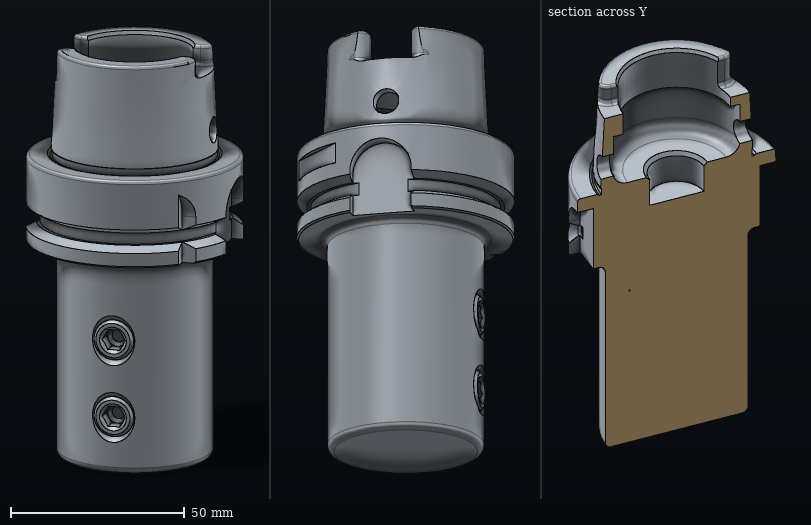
import cadquery as cq
import math


total_height = 122.0
flange_top_z = 90.0
flange_bottom_z = 64.0

body_radius = 22.7
body_edge_fillet = 2.0
body_neck_fillet = 2.1

flange_radius = 31.5
flange_top_fillet = 1.0
flange_bottom_chamfer = 0.5
groove_radius = 27.5
groove_flank_radius = 28.5
groove_upper_z = 73.8
groove_lower_z = 70.2
groove_flank_angle = 30.0
groove_flank_rise = (flange_radius - groove_flank_radius) * math.tan(math.radians(groove_flank_angle))

taper_top_radius = 22.7
taper_slope = 0.05
taper_top_fillet = 1.0
neck_radius = 23.9
neck_top_z = 91.7
relief_inner_radius = 24.5
relief_outer_radius = 25.3
relief_depth = 0.5

bore_radius = 17.0
bore_chamfer_width = 0.6
bore_chamfer_height = 1.1
bore_lip_height = 13.3
chamber_radius = 20.0
chamber_fillet = 4.4
chamber_floor_z = 91.5
coolant_hole_radius = 8.5
coolant_hole_chamfer = 1.1
coolant_hole_depth = 10.0

slot_half_width = 6.2
slot_depth_left = 9.9
slot_depth_right = 6.0
slot_flare_radius = 2.9
slot_flare_start = 17.9
slot_flare_angle = 27.0
slot_flare_length = 6.1
slot_inner_reach = 13.4
slot_floor_fillet = 1.5
slot_edge_fillet = 1.0

cross_hole_radius = 3.8
cross_hole_z = 98.8

keyway_half_width = 9.2
keyway_floor_x = 26.5
keyway_top_z = 85.3
notch_wall = 20.1
notch_radius = 8.5
notch_top_z = 86.5
flat_distance = 29.8
flat_direction = 135.0
flat_bottom_z = 79.9
flat_top_z = 85.9

screw_heights = (16.8, 39.8)
screw_radius = 6.0
screw_seat_radius = 7.5
screw_seat_depth = 1.2
screw_face_radius = 5.1
screw_face_depth = 0.1
screw_face_chamfer = 0.9
socket_mouth_radius = 4.0
hex_across_flats = 6.0
hex_depth = 4.9
hex_tip_radius = 2.0
hex_tip_depth = 1.2

margin = 6.1
tolerance = 0.1


def revolve_about_z(points):
    return cq.Workplane("XZ").polyline(points).close().revolve(360, (0, 0, 0), (0, 1, 0))


def near_height(z):
    """Selector for the edges lying level at height z."""
    return cq.selectors.BoxSelector(
        (-flange_radius, -flange_radius, z - tolerance),
        (flange_radius, flange_radius, z + tolerance))


def make_lower_body():
    lower = revolve_about_z([
        (0, 0),
        (body_radius, 0),
        (body_radius, flange_bottom_z),
        (flange_radius - flange_bottom_chamfer, flange_bottom_z),
        (flange_radius, flange_bottom_z + flange_bottom_chamfer),
        (flange_radius, groove_lower_z - groove_flank_rise),
        (groove_flank_radius, groove_lower_z),
        (groove_radius, groove_lower_z),
        (groove_radius, groove_upper_z),
        (groove_flank_radius, groove_upper_z),
        (flange_radius, groove_upper_z + groove_flank_rise),
        (flange_radius, flange_top_z),
        (relief_outer_radius, flange_top_z),
        (relief_inner_radius, flange_top_z - relief_depth),
        (0, flange_top_z - relief_depth),
    ])
    lower = lower.faces("<Z").edges().fillet(body_edge_fillet)
    flange_rim = lower.edges(near_height(flange_top_z)).edges(cq.selectors.RadiusNthSelector(-1))
    lower = flange_rim.fillet(flange_top_fillet)
    neck_corner = lower.edges(near_height(flange_bottom_z)).edges(cq.selectors.RadiusNthSelector(0))
    return neck_corner.fillet(body_neck_fillet)


def make_slot_cutter(depth):
    """Slot opening toward -X, its mouth flaring outward on both sides."""
    centre_y = slot_half_width + slot_flare_radius

    def on_flare(angle):
        x = -slot_flare_start - slot_flare_radius * math.sin(angle)
        y = centre_y - slot_flare_radius * math.cos(angle)
        return x, y

    end_angle = math.radians(90 + slot_flare_angle)
    mid_x, mid_y = on_flare(end_angle / 2)
    end_x, end_y = on_flare(end_angle)
    tip_x = end_x + slot_flare_length * math.sin(math.radians(slot_flare_angle))
    tip_y = end_y + slot_flare_length * math.cos(math.radians(slot_flare_angle))
    outer_x = -taper_top_radius - margin
    cutter = (
        cq.Workplane("XY", origin=(0, 0, total_height - depth))
        .moveTo(-slot_inner_reach, -slot_half_width)
        .lineTo(-slot_inner_reach, slot_half_width)
        .lineTo(-slot_flare_start, slot_half_width)
        .threePointArc((mid_x, mid_y), (end_x, end_y))
        .lineTo(tip_x, tip_y)
        .lineTo(outer_x, tip_y)
        .lineTo(outer_x, -tip_y)
        .lineTo(tip_x, -tip_y)
        .lineTo(end_x, -end_y)
        .threePointArc((mid_x, -mid_y), (-slot_flare_start, -slot_half_width))
        .close()
        .extrude(depth)
        .faces("<Z").edges().fillet(slot_floor_fillet)
    )
    plate = (
        cq.Workplane("XY")
        .box(-slot_inner_reach - outer_x, 2 * (tip_y + margin), margin, centered=(False, True, False))
        .translate((outer_x, 0, total_height))
    )
    rim = cq.selectors.BoxSelector(
        (outer_x + tolerance, -tip_y - tolerance, total_height - tolerance),
        (-slot_inner_reach - tolerance, tip_y + tolerance, total_height + tolerance))
    return cutter.union(plate).edges(rim).fillet(slot_edge_fillet)


def make_taper():
    taper_bottom_radius = taper_top_radius + taper_slope * (total_height - neck_top_z)
    taper = revolve_about_z([
        (0, flange_top_z - relief_depth),
        (neck_radius, flange_top_z - relief_depth),
        (neck_radius, neck_top_z),
        (taper_bottom_radius, neck_top_z),
        (taper_top_radius, total_height),
        (0, total_height),
    ])
    taper = taper.faces(">Z").edges().fillet(taper_top_fillet)
    taper = taper.cut(make_slot_cutter(slot_depth_left))
    return taper.cut(make_slot_cutter(slot_depth_right).rotate((0, 0, 0), (0, 0, 1), 180))


def make_bore():
    chamber_top_z = total_height - bore_lip_height
    opening = revolve_about_z([
        (0, chamber_top_z),
        (bore_radius, chamber_top_z),
        (bore_radius, total_height - bore_chamfer_height),
        (bore_radius + bore_chamfer_width, total_height),
        (0, total_height),
    ])
    chamber = (
        cq.Workplane("XY", origin=(0, 0, chamber_floor_z))
        .circle(chamber_radius)
        .extrude(chamber_top_z - chamber_floor_z)
        .faces("<Z").edges().fillet(chamber_fillet)
    )
    coolant_hole = revolve_about_z([
        (0, chamber_floor_z - coolant_hole_depth),
        (coolant_hole_radius, chamber_floor_z - coolant_hole_depth),
        (coolant_hole_radius, chamber_floor_z - coolant_hole_chamfer),
        (coolant_hole_radius + coolant_hole_chamfer, chamber_floor_z),
        (0, chamber_floor_z),
    ])
    return opening.union(chamber).union(coolant_hole)


def make_arched_cutter(start_x, centre_y, half_width, top_z):
    """Round-topped slot running in +X from start_x, open below the flange."""
    spring_z = top_z - half_width
    return (
        cq.Workplane("YZ", origin=(start_x, 0, 0))
        .moveTo(centre_y - half_width, flange_bottom_z)
        .lineTo(centre_y + half_width, flange_bottom_z)
        .lineTo(centre_y + half_width, spring_z)
        .threePointArc((centre_y, top_z), (centre_y - half_width, spring_z))
        .close()
        .extrude(flange_radius)
    )


def make_flange_flat():
    """Short flat across the flange, facing between -X and +Y."""
    length = 2 * flange_radius
    return (
        cq.Workplane("XY")
        .box(margin, length, flat_top_z - flat_bottom_z, centered=(False, True, False))
        .translate((flat_distance, 0, flat_bottom_z))
        .rotate((0, 0, 0), (0, 0, 1), flat_direction)
    )


def revolve_into_body(points, z):
    """Turned shape on an axis along Y, from (radius, depth below the -Y side of the body) points."""
    placed = [(radius, depth - body_radius) for radius, depth in points]
    return (
        cq.Workplane("XY").polyline(placed).close()
        .revolve(360, (0, 0, 0), (0, 1, 0)).translate((0, 0, z))
    )


def make_screw_seat(z):
    """Conical seat sunk into the body."""
    rim_slope = (screw_seat_radius - screw_radius) / screw_seat_depth
    return revolve_into_body([
        (0, -margin),
        (screw_seat_radius + margin * rim_slope, -margin),
        (screw_radius, screw_seat_depth),
        (0, screw_seat_depth),
    ], z)


def make_screw_head(z):
    """Chamfered screw end filling the seat almost to the body surface."""
    overlap_depth = screw_seat_depth + margin
    return revolve_into_body([
        (0, screw_face_depth),
        (screw_face_radius, screw_face_depth),
        (screw_radius, screw_face_depth + screw_face_chamfer),
        (screw_radius, overlap_depth),
        (0, overlap_depth),
    ], z)


def make_screw_socket(z):
    """Hexagon socket with a countersunk mouth and a conical bottom."""
    hex_inner_radius = hex_across_flats / 2
    hex_across_corners = hex_across_flats / math.cos(math.radians(30))
    mouth_end = screw_face_depth + socket_mouth_radius - hex_inner_radius
    hex_floor = screw_face_depth + hex_depth
    mouth = revolve_into_body([
        (0, screw_face_depth),
        (socket_mouth_radius, screw_face_depth),
        (hex_inner_radius, mouth_end),
        (0, mouth_end),
    ], z)
    hexagon = (
        cq.Workplane("XZ", origin=(0, hex_floor - body_radius, z))
        .polygon(6, hex_across_corners).extrude(hex_depth)
    )
    tip = revolve_into_body([
        (0, hex_floor),
        (hex_inner_radius, hex_floor),
        (hex_tip_radius, hex_floor + hex_tip_depth),
        (0, hex_floor + hex_tip_depth),
    ], z)
    return mouth.union(hexagon).union(tip)


result = make_lower_body().union(make_taper()).cut(make_bore())

cross_hole = (
    cq.Workplane("YZ", origin=(0, 0, cross_hole_z))
    .circle(cross_hole_radius).extrude(flange_radius, both=True)
)
result = result.cut(cross_hole)

keyway = make_arched_cutter(keyway_floor_x, 0, keyway_half_width, keyway_top_z)
result = result.cut(keyway).cut(keyway.mirror("YZ"))
result = result.cut(make_arched_cutter(notch_wall, -notch_wall - notch_radius, notch_radius, notch_top_z))
result = result.cut(make_flange_flat())

for screw_z in screw_heights:
    result = result.cut(make_screw_seat(screw_z)).union(make_screw_head(screw_z))
    result = result.cut(make_screw_socket(screw_z))